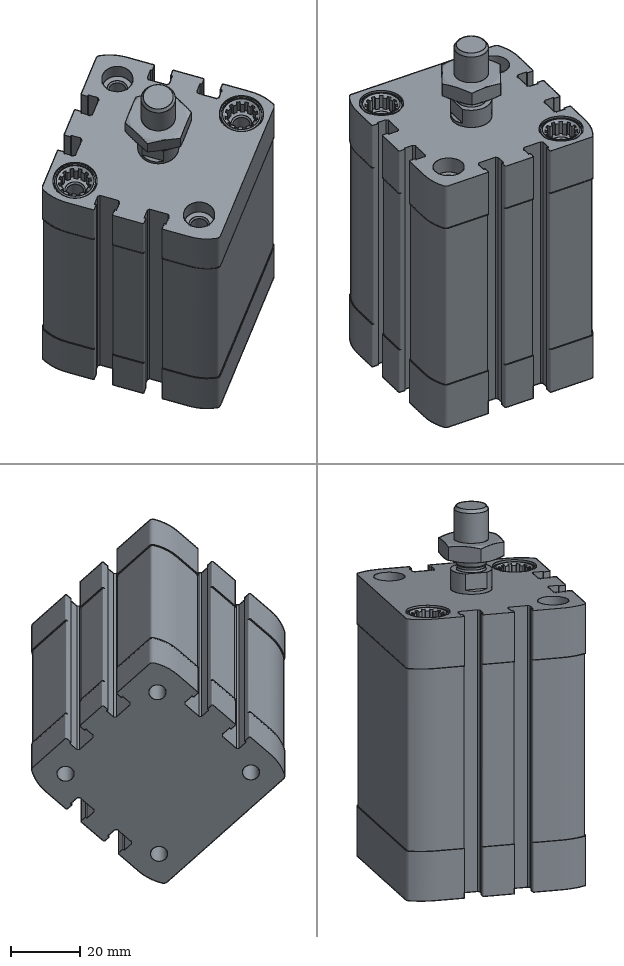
import cadquery as cq
import math

HOUSING_WIDTH = 54.5
HOUSING_HEIGHT = 85.0
CAP_HEIGHT = 15.0
TUBE_INSET = 0.3
CORNER_ARC_RADIUS = 15.4
CORNER_ARC_CENTRE_X = 18.9
CAP_EDGE_FILLET = 1.4
TUBE_EDGE_FILLET = 0.9

SLOT_OFFSET = 7.6
SLOT_MOUTH_WIDTH = 5.6
SLOT_INNER_WIDTH = 6.7
SLOT_LIP_DEPTH = 2.1
SLOT_DEPTH = 5.5
SLOT_FLOOR_CHAMFER = 0.5
SLOT_MOUTH_ROUND = 0.3

HOLE_PITCH = 38.0
HOLE_DIAMETER = 5.0
HOLE_COUNTERSINK_DIAMETER = 6.0
COUNTERBORE_DIAMETER = 9.0
SOCKET_DEPTH = 5.0
HEAD_RECESS_DIAMETER = 12.8
HEAD_DIAMETER = 11.9
HEAD_CREST_DIAMETER = 10.9
HEAD_CREST_DEPTH = 0.3
HEAD_GROOVE_DEPTH = 0.7
SOCKET_DIAMETER = 8.1
SOCKET_CONE_DEPTH = 1.1
SPLINE_COUNT = 12
SPLINE_DIAMETER = 9.5
SPLINE_WIDTH = 1.0

NUT_WIDTH = 17.0
NUT_HEIGHT = 5.0
NUT_BOTTOM_Z = 95.1
NUT_CROWN_DIAMETER = 16.7
NUT_CORNER_DROP = 0.4

TOTAL_HEIGHT = 110.1
ROD_DIAMETER = 12.0
ROD_SHOULDER_Z = 91.0
THREAD_DIAMETER = 10.0
THREAD_TIP_DIAMETER = 8.7
THREAD_TIP_LENGTH = 1.0
RUNOUT_DIAMETER = 8.7
RUNOUT_Z = 92.7
RUNOUT_MIDDLE_DIAMETER = 9.1
RUNOUT_MIDDLE_Z = 93.9
NECK_DIAMETER = 8.1
NECK_TOP_Z = 92.4
NECK_BOTTOM_Z = 91.7
NECK_FOOT_DIAMETER = 8.7
FLATS_WIDTH = 10.0
FLATS_BOTTOM_Z = 86.2
FLATS_LEDGE_DROP = 0.3


def cornered_prism(half_width, arc_radius, edge_fillet, height):
    """Square prism whose corners are arcs tangent to the Y sides and filleted into the X sides."""
    arc_centre_y = HOUSING_WIDTH / 2 - CORNER_ARC_RADIUS
    end_angle = math.acos((half_width - CORNER_ARC_CENTRE_X) / arc_radius)
    middle_angle = (end_angle + math.pi / 2) / 2
    middle_x = CORNER_ARC_CENTRE_X + arc_radius * math.cos(middle_angle)
    middle_y = arc_centre_y + arc_radius * math.sin(middle_angle)
    end_y = arc_centre_y + arc_radius * math.sin(end_angle)
    start_x = CORNER_ARC_CENTRE_X
    prism = (
        cq.Workplane("XY")
        .moveTo(-start_x, half_width)
        .lineTo(start_x, half_width)
        .threePointArc((middle_x, middle_y), (half_width, end_y))
        .lineTo(half_width, -end_y)
        .threePointArc((middle_x, -middle_y), (start_x, -half_width))
        .lineTo(-start_x, -half_width)
        .threePointArc((-middle_x, -middle_y), (-half_width, -end_y))
        .lineTo(-half_width, end_y)
        .threePointArc((-middle_x, middle_y), (-start_x, half_width))
        .close()
        .extrude(height)
    )
    return prism.faces("<X or >X").edges("|Z").fillet(edge_fillet)


def slot_cutter(side_y, height):
    """T-slot open to a side at Y = side_y, centred on X = 0."""
    mouth_x = SLOT_MOUTH_WIDTH / 2
    inner_x = SLOT_INNER_WIDTH / 2
    floor_y = HOUSING_WIDTH / 2 - SLOT_DEPTH
    lip_y = HOUSING_WIDTH / 2 - SLOT_LIP_DEPTH
    round_middle = SLOT_MOUTH_ROUND * (1 - math.sqrt(0.5))
    return (
        cq.Workplane("XY")
        .moveTo(0, floor_y)
        .lineTo(inner_x - SLOT_FLOOR_CHAMFER, floor_y)
        .lineTo(inner_x, floor_y + SLOT_FLOOR_CHAMFER)
        .lineTo(inner_x, lip_y)
        .lineTo(mouth_x, lip_y)
        .lineTo(mouth_x, side_y - SLOT_MOUTH_ROUND)
        .threePointArc(
            (mouth_x + round_middle, side_y - round_middle),
            (mouth_x + SLOT_MOUTH_ROUND, side_y),
        )
        .lineTo(0, side_y)
        .mirrorY()
        .extrude(height)
    )


def slotted_section(inset, edge_fillet, height):
    """Length of the housing with its sides set in, and two T-slots in the +Y, -X and -Y sides."""
    half_width = HOUSING_WIDTH / 2 - inset
    section = cornered_prism(half_width, CORNER_ARC_RADIUS - inset, edge_fillet, height)
    slot = slot_cutter(half_width, height)
    for side_angle in (0, 90, 180):
        for offset in (-SLOT_OFFSET, SLOT_OFFSET):
            placed_slot = slot.translate((offset, 0, 0)).rotate((0, 0, 0), (0, 0, 1), side_angle)
            section = section.cut(placed_slot)
    return section


def housing_block():
    """Two caps and the tube between them as one block."""
    lower_cap = slotted_section(0, CAP_EDGE_FILLET, CAP_HEIGHT)
    tube_length = HOUSING_HEIGHT - 2 * CAP_HEIGHT
    tube = slotted_section(TUBE_INSET, TUBE_EDGE_FILLET, tube_length).translate((0, 0, CAP_HEIGHT))
    upper_cap = lower_cap.translate((0, 0, HOUSING_HEIGHT - CAP_HEIGHT))
    return lower_cap.union(tube).union(upper_cap)


def countersunk_hole():
    """Through hole, countersunk at the floor of its counterbore or socket."""
    floor_z = HOUSING_HEIGHT - SOCKET_DEPTH
    hole_radius = HOLE_DIAMETER / 2
    sink_radius = HOLE_COUNTERSINK_DIAMETER / 2
    return (
        cq.Workplane("XZ")
        .polyline([
            (0, 0),
            (hole_radius, 0),
            (hole_radius, floor_z - (sink_radius - hole_radius)),
            (sink_radius, floor_z),
            (0, floor_z),
        ])
        .close()
        .revolve(360, (0, 0), (0, 1))
    )


def counterbored_hole():
    counterbore = (
        cq.Workplane("XY", origin=(0, 0, HOUSING_HEIGHT - SOCKET_DEPTH))
        .circle(COUNTERBORE_DIAMETER / 2)
        .extrude(SOCKET_DEPTH)
    )
    return counterbore.union(countersunk_hole())


def screw_head_hole():
    """Space around and inside a sunk screw head with a splined socket."""
    top = HOUSING_HEIGHT
    recess_radius = HEAD_RECESS_DIAMETER / 2
    socket_radius = SOCKET_DIAMETER / 2
    socket_floor = top - SOCKET_DEPTH
    space = (
        cq.Workplane("XZ")
        .polyline([
            (0, socket_floor),
            (socket_radius, socket_floor),
            (socket_radius, top - SOCKET_CONE_DEPTH),
            (HEAD_CREST_DIAMETER / 2, top - HEAD_CREST_DEPTH),
            (HEAD_DIAMETER / 2, top - HEAD_GROOVE_DEPTH),
            (recess_radius, top - HEAD_GROOVE_DEPTH),
            (recess_radius, top),
            (0, top),
        ])
        .close()
        .revolve(360, (0, 0), (0, 1))
    )
    splines = (
        cq.Workplane("XY", origin=(0, 0, socket_floor))
        .polarArray(SPLINE_DIAMETER / 4, 0, 360, SPLINE_COUNT)
        .rect(SPLINE_DIAMETER / 2, SPLINE_WIDTH)
        .extrude(SOCKET_DEPTH - HEAD_CREST_DEPTH)
    )
    return space.union(splines).union(countersunk_hole())


def make_housing():
    housing = housing_block()

    hole_offset = HOLE_PITCH / 2
    for side in (-1, 1):
        housing = housing.cut(screw_head_hole().translate((side * hole_offset, side * hole_offset, 0)))
        housing = housing.cut(counterbored_hole().translate((side * hole_offset, -side * hole_offset, 0)))

    rod_bore = (
        cq.Workplane("XY", origin=(0, 0, HOUSING_HEIGHT - CAP_HEIGHT))
        .circle(ROD_DIAMETER / 2)
        .extrude(CAP_HEIGHT)
    )
    return housing.cut(rod_bore)


def wrench_flat_cutter():
    """Material removed beside the wrench flat on the +Y side; the ledge slopes down outwards."""
    flat_y = FLATS_WIDTH / 2
    rod_y = ROD_DIAMETER / 2
    return (
        cq.Workplane("YZ")
        .polyline([
            (flat_y, FLATS_BOTTOM_Z),
            (rod_y, FLATS_BOTTOM_Z - FLATS_LEDGE_DROP),
            (rod_y, ROD_SHOULDER_Z),
            (flat_y, ROD_SHOULDER_Z),
        ])
        .close()
        .extrude(ROD_DIAMETER / 2, both=True)
    )


def make_piston_rod():
    """Turned rod with a threaded end, an undercut neck and two wrench flats."""
    foot_z = HOUSING_HEIGHT - CAP_HEIGHT
    rod = (
        cq.Workplane("XZ")
        .polyline([
            (0, foot_z),
            (ROD_DIAMETER / 2, foot_z),
            (ROD_DIAMETER / 2, ROD_SHOULDER_Z),
            (NECK_FOOT_DIAMETER / 2, ROD_SHOULDER_Z),
            (NECK_DIAMETER / 2, NECK_BOTTOM_Z),
            (NECK_DIAMETER / 2, NECK_TOP_Z),
            (RUNOUT_DIAMETER / 2, RUNOUT_Z),
        ])
        .threePointArc(
            (RUNOUT_MIDDLE_DIAMETER / 2, RUNOUT_MIDDLE_Z),
            (THREAD_DIAMETER / 2, NUT_BOTTOM_Z),
        )
        .lineTo(THREAD_DIAMETER / 2, TOTAL_HEIGHT - THREAD_TIP_LENGTH)
        .lineTo(THREAD_TIP_DIAMETER / 2, TOTAL_HEIGHT)
        .lineTo(0, TOTAL_HEIGHT)
        .close()
        .revolve(360, (0, 0), (0, 1))
    )
    flat = wrench_flat_cutter()
    return rod.cut(flat).cut(flat.mirror("XZ"))


def make_nut():
    """Hexagon nut with corners pointing along Y, crowned on both faces."""
    corner_radius = NUT_WIDTH / math.sqrt(3)
    crown_radius = NUT_CROWN_DIAMETER / 2
    hexagon = (
        cq.Workplane("XY")
        .polygon(6, 2 * corner_radius)
        .extrude(NUT_HEIGHT)
        .rotate((0, 0, 0), (0, 0, 1), 90)
    )
    crown = (
        cq.Workplane("XZ")
        .polyline([
            (0, 0),
            (crown_radius, 0),
            (corner_radius, NUT_CORNER_DROP),
            (corner_radius, NUT_HEIGHT - NUT_CORNER_DROP),
            (crown_radius, NUT_HEIGHT),
            (0, NUT_HEIGHT),
        ])
        .close()
        .revolve(360, (0, 0), (0, 1))
    )
    thread_hole = cq.Workplane("XY").circle(THREAD_DIAMETER / 2).extrude(NUT_HEIGHT)
    return hexagon.intersect(crown).cut(thread_hole).translate((0, 0, NUT_BOTTOM_Z))


housing = make_housing()
piston_rod = make_piston_rod()
nut = make_nut()

result = cq.Compound.makeCompound([body.solids().val() for body in (housing, piston_rod, nut)])